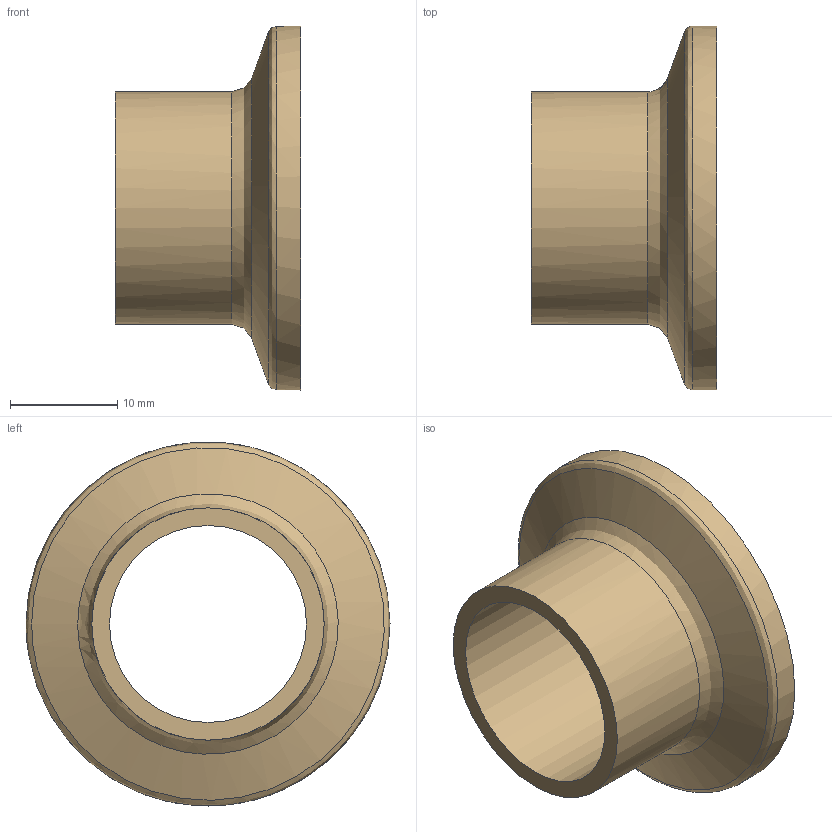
import cadquery as cq
import math

total_length = 17.3
flange_diameter = 34.0
tube_outer_diameter = 21.7
bore_diameter = 18.4

cone_angle = 20.0
rim_thickness = 2.8
neck_fillet_radius = 2.0
rim_fillet_radius = 0.8

flange_radius = flange_diameter / 2
tube_radius = tube_outer_diameter / 2
bore_radius = bore_diameter / 2

rim_corner_x = total_length - rim_thickness
cone_length = (flange_radius - tube_radius) * math.tan(math.radians(cone_angle))
neck_corner_x = rim_corner_x - cone_length


def make_body():
    """Revolve the half section about the X axis, bore included."""
    section = (
        cq.Workplane("XY")
        .moveTo(0, bore_radius)
        .lineTo(0, tube_radius)
        .lineTo(neck_corner_x, tube_radius)
        .lineTo(rim_corner_x, flange_radius)
        .lineTo(total_length, flange_radius)
        .lineTo(total_length, bore_radius)
        .close()
    )
    return section.revolve(360, (0, 0, 0), (1, 0, 0))


def round_circular_edge(body, edge_x, edge_radius, fillet_radius):
    """Fillet the circular edge that lies at edge_x with the given radius."""
    margin = 0.1
    reach = edge_radius + margin
    edge = cq.selectors.BoxSelector(
        (edge_x - margin, -reach, -reach),
        (edge_x + margin, reach, reach),
        boundingbox=True,
    )
    return body.edges(edge).fillet(fillet_radius)


body = make_body()
body = round_circular_edge(body, neck_corner_x, tube_radius, neck_fillet_radius)
body = round_circular_edge(body, rim_corner_x, flange_radius, rim_fillet_radius)
result = body